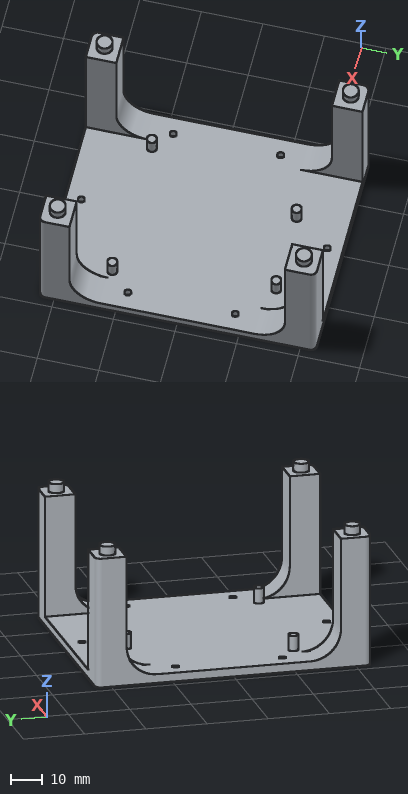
import cadquery as cq

width = 74.0
length = 90.0
plate_thickness = 3.0
corner_radius = 2.0

total_height = 46.0
post_side = 10.0
post_root_radius = 10.0
peg_diameter = 5.0
peg_height = 3.0
post_top = total_height - peg_height

pin_diameter = 3.15
pin_height = 5.0
pin_points = [(-9.0, 27.9), (18.9, 27.9), (-24.2, -22.8), (24.1, -24.1)]

hole_diameter = 2.2
end_hole_y = 40.0
side_hole_x = 31.0
side_hole_y = 17.5
hole_points = [(0, y) for y in (-end_hole_y, end_hole_y)]
hole_points += [(x, y) for x in (-side_hole_x, side_hole_x) for y in (-side_hole_y, side_hole_y)]

peg_x = (width - post_side) / 2
peg_y = (length - post_side) / 2
peg_points = [(x, y) for x in (-peg_x, peg_x) for y in (-peg_y, peg_y)]


def cylinders(points, diameter, base_z, height):
    """Upright cylinders standing on the height base_z."""
    return cq.Workplane("XY", origin=(0, 0, base_z)).pushPoints(points).circle(diameter / 2).extrude(height)


def frame_body():
    """Plate with four corner posts, rounded at the roots along Y."""
    body = cq.Workplane("XY").box(width, length, post_top, centered=(True, True, False))
    body = body.edges("|Z").fillet(corner_radius)

    opening = (
        cq.Workplane("XY", origin=(0, 0, plate_thickness))
        .box(width, length - 2 * post_side, post_top, centered=(True, True, False))
        .edges("|X and <Z")
        .fillet(post_root_radius)
    )

    channel = cq.Workplane("XY", origin=(0, 0, plate_thickness)).box(
        width - 2 * post_side, length, post_top, centered=(True, True, False)
    )
    return body.cut(opening).cut(channel)


pegs = cylinders(peg_points, peg_diameter, post_top, peg_height)
pins = cylinders(pin_points, pin_diameter, plate_thickness, pin_height)
holes = cylinders(hole_points, hole_diameter, 0, plate_thickness)

result = frame_body().union(pegs).union(pins).cut(holes)